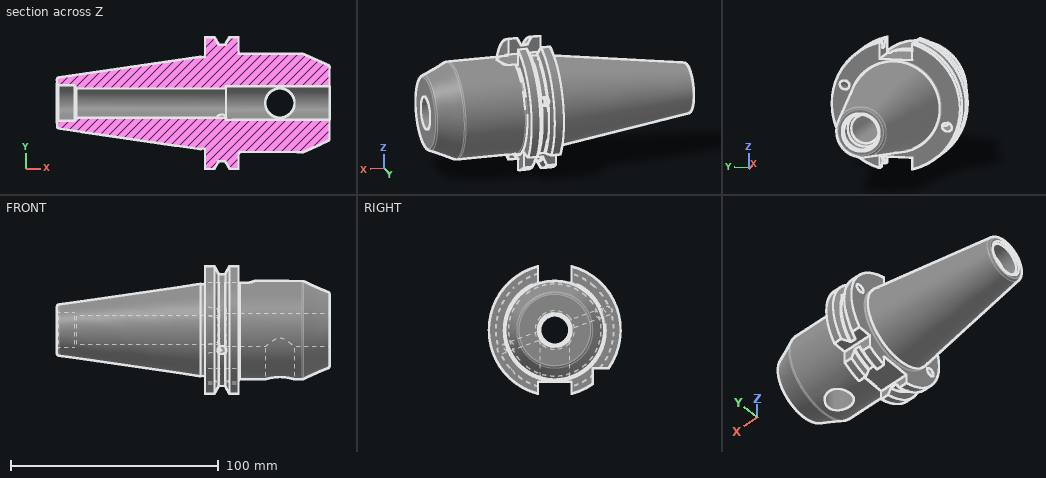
import cadquery as cq
import math

MATCH_TOLERANCE = 0.01

TAPER_START = -68.4
TAPER_END = 0.7
FLANGE_START = 2.9
FLANGE_END = 19.1
NOSE_END = 63.0

TAPER_RATE = 7 / 24
GAUGE_DIAMETER = 44.45
TAPER_EDGE_ROUND = 1.2
RELIEF_DIAMETER = 44.25
RELIEF_CHAMFER = 0.8
RELIEF_ROOT_RADIUS = 0.4

FLANGE_DIAMETER = 63.55
GROOVE_CENTER = 11.1
GROOVE_FLOOR_DIAMETER = 56.25
GROOVE_FLOOR_WIDTH = 3.5
GROOVE_MOUTH_WIDTH = 7.2
GROOVE_WALL_ANGLE = 60.0
GROOVE_CORNER_RADIUS = 0.35

BODY_DIAMETER = 47.5
BODY_ROOT_RADIUS = 0.8
NOSE_FACE_DIAMETER = 36.0
NOSE_ANGLE = 24.0
NOSE_SHOULDER_ROUND = 2.0
NOSE_EDGE_ROUND = 1.2

SLOT_WIDTH = 16.1
TOP_SLOT_FLOOR = 22.8
BOTTOM_SLOT_FLOOR = 25.0
NOTCH_OFFSET = 18.4

PILOT_DIAMETER = 17.0
PILOT_DEPTH = 8.5
PILOT_CHAMFER = 0.9
PILOT_POINT_ANGLE = 118.0
THROUGH_DIAMETER = 14.0
SHANK_DIAMETER = 16.0
SHANK_DEPTH = 50.0

SCREW_DIAMETER = 14.0
SCREW_X = 39.0

COOLANT_DIAMETER = 4.2
COOLANT_RADIUS = 27.0
COOLANT_ANGLE = 20.0
COOLANT_TILT = 30.0


def cylinder_x(x_start, x_end, diameter):
    """Solid cylinder on the X axis."""
    return cq.Workplane("YZ", origin=(x_start, 0, 0)).circle(diameter / 2).extrude(x_end - x_start)


def box_between(low, high):
    """Axis-aligned box between two opposite corners."""
    size = [b - a for a, b in zip(low, high)]
    return cq.Workplane("XY").box(*size, centered=False).translate(low)


def taper_radius(x):
    return (GAUGE_DIAMETER + x * TAPER_RATE) / 2


def revolve_profile(points):
    """Revolve a closed (x, radius) outline about the X axis."""
    return cq.Workplane("XY").polyline(points).close().revolve(360, (0, 0, 0), (1, 0, 0))


def circle_edges(solid, radius, x_min=-math.inf):
    """Circular edges of the given radius that lie beyond x_min, in order along X."""
    edges = solid.edges("%CIRCLE").vals()
    matches = [e for e in edges if abs(e.radius() - radius) < MATCH_TOLERANCE and e.Center().x > x_min]
    return sorted(matches, key=lambda e: e.Center().x)


def make_shank():
    relief = RELIEF_DIAMETER / 2
    taper = revolve_profile([
        (TAPER_START, 0),
        (TAPER_START, taper_radius(TAPER_START)),
        (TAPER_END, taper_radius(TAPER_END)),
        (TAPER_END + RELIEF_CHAMFER, relief),
        (FLANGE_START, relief),
        (FLANGE_START, 0),
    ])
    return taper.faces("<X").edges().fillet(TAPER_EDGE_ROUND)


def make_flange():
    rim = FLANGE_DIAMETER / 2
    floor = GROOVE_FLOOR_DIAMETER / 2
    half_floor = GROOVE_FLOOR_WIDTH / 2
    half_mouth = GROOVE_MOUTH_WIDTH / 2
    wall_foot = rim - (half_mouth - half_floor) * math.tan(math.radians(GROOVE_WALL_ANGLE))
    flange = revolve_profile([
        (FLANGE_START, 0),
        (FLANGE_START, rim),
        (GROOVE_CENTER - half_mouth, rim),
        (GROOVE_CENTER - half_floor, wall_foot),
        (GROOVE_CENTER - half_floor, floor),
        (GROOVE_CENTER + half_floor, floor),
        (GROOVE_CENTER + half_floor, wall_foot),
        (GROOVE_CENTER + half_mouth, rim),
        (FLANGE_END, rim),
        (FLANGE_END, 0),
    ])
    floor_edges = circle_edges(flange, floor)
    return flange.newObject(floor_edges).fillet(GROOVE_CORNER_RADIUS)


def make_body():
    body_radius = BODY_DIAMETER / 2
    face = NOSE_FACE_DIAMETER / 2
    cone_start = NOSE_END - (body_radius - face) / math.tan(math.radians(NOSE_ANGLE))
    body = revolve_profile([
        (FLANGE_END, 0),
        (FLANGE_END, body_radius),
        (cone_start, body_radius),
        (NOSE_END, face),
        (NOSE_END, 0),
    ])
    shoulder = circle_edges(body, body_radius, FLANGE_END + MATCH_TOLERANCE)
    body = body.newObject(shoulder).fillet(NOSE_SHOULDER_ROUND)
    return body.faces(">X").edges().fillet(NOSE_EDGE_ROUND)


def flange_cuts():
    """Both drive slots and the orientation notch."""
    half = SLOT_WIDTH / 2
    rim = FLANGE_DIAMETER / 2
    top_slot = box_between((FLANGE_START, -half, TOP_SLOT_FLOOR), (FLANGE_END, half, rim))
    runout = (
        cq.Workplane("XY", origin=(FLANGE_END, 0, TOP_SLOT_FLOOR))
        .circle(half)
        .extrude(rim - TOP_SLOT_FLOOR)
    )
    bottom_slot = box_between((FLANGE_START, -half, -rim), (FLANGE_END, half, -BOTTOM_SLOT_FLOOR))
    notch = box_between((FLANGE_START, NOTCH_OFFSET, -rim), (FLANGE_END, rim, -NOTCH_OFFSET))
    return [top_slot, runout, bottom_slot, notch]


def bore_cuts():
    pilot_radius = PILOT_DIAMETER / 2
    pilot_end = TAPER_START + PILOT_DEPTH
    pilot = revolve_profile([
        (TAPER_START, 0),
        (TAPER_START, pilot_radius + PILOT_CHAMFER),
        (TAPER_START + PILOT_CHAMFER, pilot_radius),
        (pilot_end, pilot_radius),
        (pilot_end + pilot_radius / math.tan(math.radians(PILOT_POINT_ANGLE / 2)), 0),
    ])
    through = cylinder_x(TAPER_START, NOSE_END, THROUGH_DIAMETER)
    socket = cylinder_x(NOSE_END - SHANK_DEPTH, NOSE_END, SHANK_DIAMETER)
    return [pilot, through, socket]


def screw_cut():
    return (
        cq.Workplane("XY", origin=(SCREW_X, 0, -BODY_DIAMETER / 2))
        .circle(SCREW_DIAMETER / 2)
        .extrude(BODY_DIAMETER / 2)
    )


def coolant_cuts():
    """Inclined holes from the flange face, each meeting a radial hole between groove and bore."""
    cuts = []
    tilt = math.radians(COOLANT_TILT)
    inlet_length = (GROOVE_CENTER - FLANGE_START) / math.cos(tilt)
    overrun = COOLANT_DIAMETER
    for side in (0, 180):
        angle = math.radians(COOLANT_ANGLE + side)
        outward = cq.Vector(0, -math.cos(angle), -math.sin(angle))
        along_inlet = cq.Vector(math.cos(tilt), 0, 0) - outward * math.sin(tilt)
        face_point = cq.Vector(FLANGE_START, 0, 0) + outward * COOLANT_RADIUS
        inlet_start = face_point - along_inlet * overrun
        inlet = cq.Solid.makeCylinder(
            COOLANT_DIAMETER / 2, overrun + inlet_length, inlet_start, along_inlet
        )
        radial = cq.Solid.makeCylinder(
            COOLANT_DIAMETER / 2, FLANGE_DIAMETER / 2, cq.Vector(GROOVE_CENTER, 0, 0), outward
        )
        cuts += [inlet, radial]
    return cuts


def round_root(solid, diameter, face_x, root_radius):
    """Fillet the inner corner where a cylinder meets the flange face at face_x."""
    root_edge = circle_edges(solid, diameter / 2, face_x - MATCH_TOLERANCE)[0]
    return solid.newObject([root_edge]).fillet(root_radius)


result = make_shank().union(make_flange()).union(make_body())
result = round_root(result, RELIEF_DIAMETER, FLANGE_START, RELIEF_ROOT_RADIUS)
result = round_root(result, BODY_DIAMETER, FLANGE_END, BODY_ROOT_RADIUS)
for cut in flange_cuts() + bore_cuts() + [screw_cut()] + coolant_cuts():
    result = result.cut(cut)